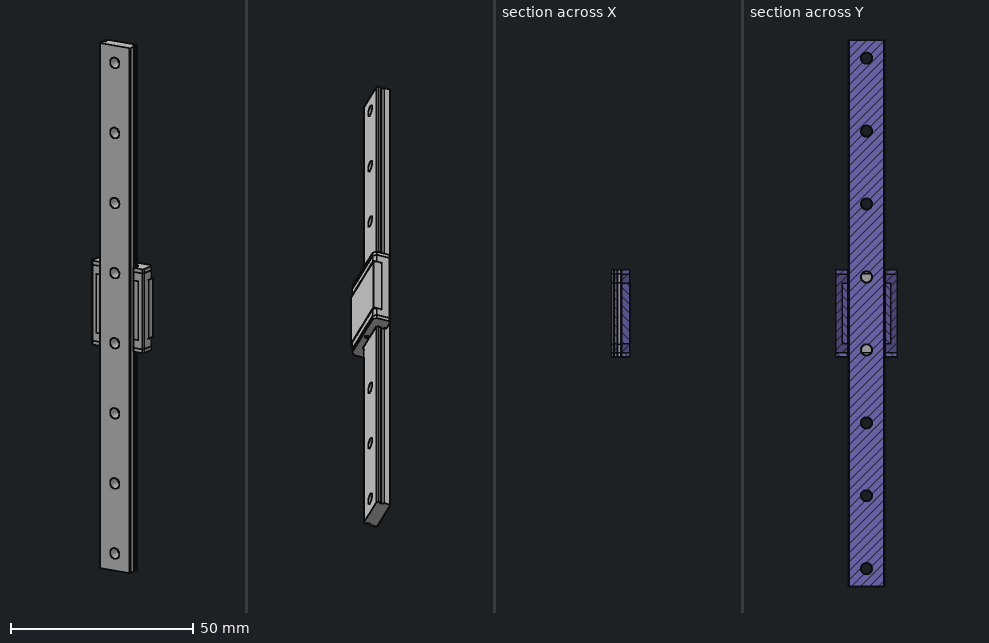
import cadquery as cq


rail_length = 150.0
rail_width = 10.0
rail_height = 4.0
rail_top_chamfer = 0.5
rail_foot_chamfer = 0.3
groove_top = 3.0
groove_corner = 2.4
groove_ledge = 0.38
groove_depth = 0.52
hole_count = 8
hole_end_margin = 5.0
hole_pitch = (rail_length - 2 * hole_end_margin) / (hole_count - 1)
hole_diameter = 3.0

carriage_width = 17.0
carriage_length = 24.0
carriage_top = 6.5
carriage_bottom = 1.4
seal_thickness = 1.15
frame_length = carriage_length - 2 * seal_thickness
plastic_top_step = 0.1
plastic_top = carriage_top - plastic_top_step
plastic_top_chamfer = 0.9
plastic_bottom_chamfer = 0.5
running_gap = 0.22
grease_hole_diameter = 0.9
grease_hole_y = 5.1

block_length = 16.8
block_wing_bottom = 4.0
block_leg_width = 13.5
block_top_chamfer = 0.2


def prism(points, length):
    """Extrude an X-Y outline along Z, centred on Z = 0."""
    return cq.Workplane("XY").polyline(points).close().extrude(length / 2, both=True)


def mirrored(right_side):
    """Close a right-hand outline, listed bottom to top, with its mirror image in X."""
    return right_side + [(-x, y) for x, y in reversed(right_side)]


def rail_outline(gap):
    """Rail cross-section, grown by a gap on its sides, top and groove walls."""
    side = rail_width / 2 + gap
    top = rail_height + gap
    return mirrored([
        (side - rail_foot_chamfer, 0),
        (side, rail_foot_chamfer),
        (side, groove_corner - groove_depth),
        (side - groove_depth, groove_corner),
        (side - groove_ledge, groove_top),
        (side, groove_top),
        (side, top - rail_top_chamfer),
        (side - rail_top_chamfer, top),
    ])


def make_rail():
    holes = (
        cq.Workplane("XZ")
        .rarray(1.5, hole_pitch, 1, hole_count)
        .circle(hole_diameter / 2)
        .extrude(-rail_height)
    )
    return prism(rail_outline(0), rail_length).cut(holes)


def plastic_prism(length):
    """Plastic cross-section shared by the frame and the seals, with the rail channel."""
    side = carriage_width / 2
    outline = mirrored([
        (side - plastic_bottom_chamfer, carriage_bottom),
        (side, carriage_bottom + plastic_bottom_chamfer),
        (side, plastic_top - plastic_top_chamfer),
        (side - plastic_top_chamfer, plastic_top),
    ])
    grease_hole = (
        cq.Workplane("XY")
        .center(0, grease_hole_y)
        .circle(grease_hole_diameter / 2)
        .extrude(length / 2, both=True)
    )
    return prism(outline, length).cut(prism(rail_outline(running_gap), length)).cut(grease_hole)


def block_envelope():
    """T-shaped bar: wings above the frame sides, legs down inside the frame."""
    wing = carriage_width / 2
    leg = block_leg_width / 2
    return prism(mirrored([
        (leg, carriage_bottom),
        (leg, block_wing_bottom),
        (wing, block_wing_bottom),
        (wing, carriage_top - block_top_chamfer),
        (wing - block_top_chamfer, carriage_top),
    ]), block_length)


def make_block():
    return block_envelope().cut(prism(rail_outline(running_gap), block_length))


def make_frame():
    return plastic_prism(frame_length).cut(block_envelope())


def make_seal(end):
    offset = end * (carriage_length - seal_thickness) / 2
    return plastic_prism(seal_thickness).translate((0, 0, offset))


rail = make_rail()
block = make_block()
frame = make_frame()
seals = [make_seal(end) for end in (-1, 1)]

result = cq.Compound.makeCompound(
    [rail.val(), block.val(), frame.val(), *[seal.val() for seal in seals]]
)